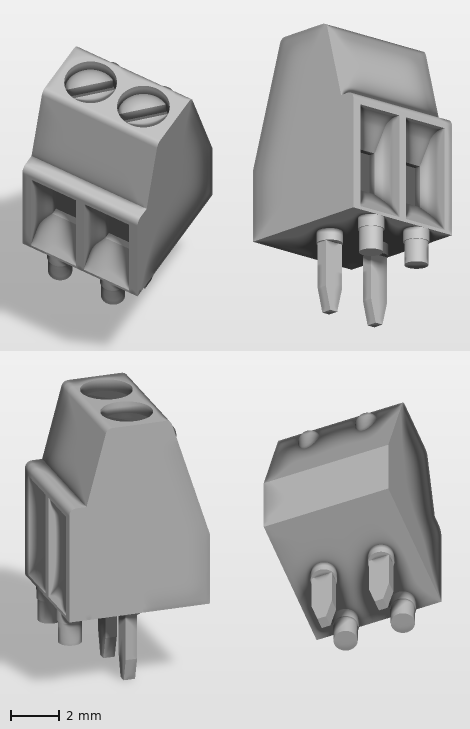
import cadquery as cq
import math

body_width = 5.55
body_depth = 6.2
body_height = 8.5
ledge_depth = 0.75
ledge_height = 5.1
top_front_y = 1.67
top_back_y = 4.46
back_wall_height = 3.12
edge_radius = 0.3

pitch = 2.55
pole_xs = (-pitch / 2, pitch / 2)

well_diameter = 2.2
screw_diameter = 2.12
screw_y = 3.06
screw_recess = 0.5
slot_width = 0.5
slot_depth = 0.5
slot_angle = 45

post_radius = 0.5
post_y = 4.72
post_top = 7.73

entry_width = 2.17
entry_bottom = 0.15
entry_top = 4.6
hole_width = 1.39
hole_bottom = 1.32
hole_top = 3.11
funnel_depth = 1.1
hole_depth = 1.4
funnel_radius = 0.5
side_flare_angle = 45
roof_flare_angle = 75

collar_diameter = 1.1
collar_height = 0.5
peg_diameter = 1.01
peg_length = 1.5
peg_y = collar_diameter / 2
pin_length = 3.5
pin_y = 3.11
pin_width = 0.9
pin_thickness = 0.5
pin_tip_width = 0.38
pin_taper_start = 2.5


def make_housing():
    outline = [
        (0, 0),
        (0, ledge_height),
        (ledge_depth, ledge_height),
        (top_front_y, body_height),
        (top_back_y, body_height),
        (body_depth, back_wall_height),
        (body_depth, 0),
    ]
    block = cq.Workplane("YZ").polyline(outline).close().extrude(body_width / 2, both=True)
    rounded_edges = [
        (0, ledge_height),
        (top_front_y, body_height),
        (top_back_y, body_height),
    ]
    for y, z in rounded_edges:
        block = block.edges(cq.selectors.NearestToPointSelector((0, y, z))).fillet(edge_radius)
    return block


def flare_points(total_inset, angle_deg):
    """(inset, depth) at the start, middle and end of the arc of a wall flaring in by total_inset."""
    angle = math.radians(angle_deg)
    arc_inset = funnel_radius * (1 - math.cos(angle))
    arc_end = funnel_depth - (total_inset - arc_inset) / math.tan(angle)
    arc_start = arc_end - funnel_radius * math.sin(angle)
    middle_inset = funnel_radius * (1 - math.cos(angle / 2))
    middle_depth = arc_start + funnel_radius * math.sin(angle / 2)
    return (0, arc_start), (middle_inset, middle_depth), (arc_inset, arc_end)


def make_wire_entry(x):
    """The entry is where its plan outline and its side outline overlap."""
    half_width = entry_width / 2
    half_hole = hole_width / 2
    side_arc = flare_points(half_width - half_hole, side_flare_angle)
    right_arc = [(half_width - inset, depth) for inset, depth in side_arc]
    left_arc = [(-across, depth) for across, depth in right_arc]
    plan = (
        cq.Workplane("XY")
        .moveTo(-half_width, 0)
        .lineTo(half_width, 0)
        .lineTo(*right_arc[0])
        .threePointArc(right_arc[1], right_arc[2])
        .lineTo(half_hole, funnel_depth)
        .lineTo(half_hole, hole_depth)
        .lineTo(-half_hole, hole_depth)
        .lineTo(-half_hole, funnel_depth)
        .lineTo(*left_arc[2])
        .threePointArc(left_arc[1], left_arc[0])
        .close()
        .extrude(ledge_height)
    )

    roof_drop = entry_top - hole_top
    roof_arc = [(depth, entry_top - drop) for drop, depth in flare_points(roof_drop, roof_flare_angle)]
    side = (
        cq.Workplane("YZ")
        .moveTo(0, entry_bottom)
        .lineTo(0, entry_top)
        .lineTo(*roof_arc[0])
        .threePointArc(roof_arc[1], roof_arc[2])
        .lineTo(funnel_depth, hole_top)
        .lineTo(hole_depth, hole_top)
        .lineTo(hole_depth, hole_bottom)
        .lineTo(funnel_depth, hole_bottom)
        .close()
        .extrude(half_width, both=True)
    )
    return plan.intersect(side).translate((x, 0, 0))


def make_screw_well(x):
    """Space above the screw head, its slot, and the thin clearance ring around it."""
    well_depth = screw_recess + slot_depth
    floor = body_height - well_depth
    well = cq.Workplane("XY").circle(well_diameter / 2).extrude(well_depth)
    head = cq.Workplane("XY").circle(screw_diameter / 2).extrude(slot_depth)
    slot = (
        cq.Workplane("XY")
        .box(well_diameter, slot_width, slot_depth, centered=(True, True, False))
        .rotate((0, 0, 0), (0, 0, 1), slot_angle)
    )
    return well.cut(head.cut(slot)).translate((x, screw_y, floor))


def make_post(x):
    dome_base = post_top - post_radius
    shaft = (
        cq.Workplane("XY", origin=(x, post_y, back_wall_height))
        .circle(post_radius)
        .extrude(dome_base - back_wall_height)
    )
    dome = cq.Workplane("XY", origin=(x, post_y, dome_base)).sphere(post_radius)
    return shaft.union(dome)


def make_stud(x, y, diameter, length):
    """Round stud hanging down from the housing bottom."""
    return cq.Workplane("XY", origin=(x, y, 0)).circle(diameter / 2).extrude(-length)


def make_pin(x):
    outline = [
        (-pin_width / 2, 0),
        (pin_width / 2, 0),
        (pin_width / 2, -pin_taper_start),
        (pin_tip_width / 2, -pin_length),
        (-pin_tip_width / 2, -pin_length),
        (-pin_width / 2, -pin_taper_start),
    ]
    blade = cq.Workplane("XZ").polyline(outline).close().extrude(pin_thickness / 2, both=True)
    return blade.translate((x, pin_y, 0))


result = make_housing()
for pole_x in pole_xs:
    result = (
        result.union(make_post(pole_x))
        .cut(make_wire_entry(pole_x))
        .cut(make_screw_well(pole_x))
        .union(make_stud(pole_x, peg_y, collar_diameter, collar_height))
        .union(make_stud(pole_x, peg_y, peg_diameter, peg_length))
        .union(make_stud(pole_x, pin_y, collar_diameter, collar_height))
        .union(make_pin(pole_x))
    )